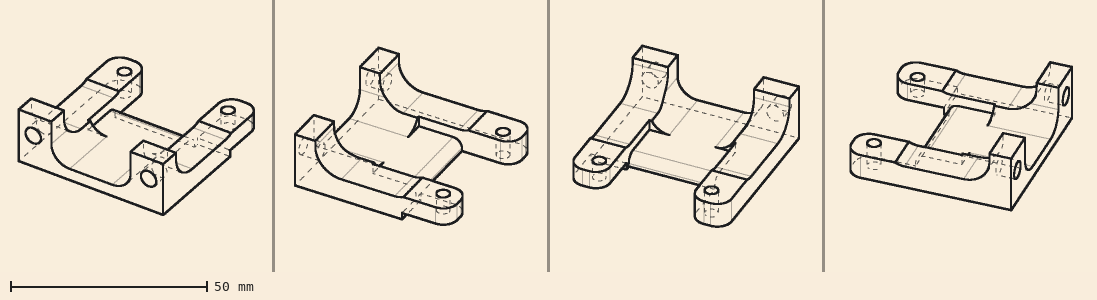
import cadquery as cq

width = 44.0
length = 45.0
arm_width = 9.95

tip_height = 7.05
arm_height = 6.5
step_end = 31.6
step_length = 2.55

post_thickness = 5.95
left_post_height = 16.0
right_post_height = 15.85
left_post_fillet = 7.0
right_post_fillet = 7.55

relief_height = 2.0
relief_start = 31.2

web_height = 3.5
web_length = 29.75
web_round = 2.5
channel_radius = 5.6
channel_length = 17.2

tip_radius = 4.0
pin_hole_diameter = 3.5
pin_hole_inset = 6.25
pin_hole_from_tip = 5.3
bolt_hole_diameter = 4.7
bolt_hole_inset = 4.45
bolt_hole_height = 9.6
bolt_hole_depth = 5.0

gap = width - 2 * arm_width


def extrude_along_x(profile, start, distance):
    """Extrude a closed YZ profile from X = start."""
    return profile.close().extrude(distance).translate((start, 0, 0))


def add_post(profile, post_height, post_fillet):
    """Continue a YZ outline along the arm top, up the post fillet and over the post."""
    return (
        profile.lineTo(post_thickness + post_fillet, arm_height)
        .radiusArc((post_thickness, arm_height + post_fillet), post_fillet)
        .lineTo(post_thickness, post_height)
        .lineTo(0, post_height)
    )


def make_arm(start, post_height, post_fillet):
    """Arm with a front post, its fillet, the shallow step and a rounded tip."""
    step_rise = tip_height - arm_height
    step_radius = (step_length**2 + step_rise**2) / (2 * step_rise)
    profile = (
        cq.Workplane("YZ")
        .lineTo(length, 0)
        .lineTo(length, tip_height)
        .lineTo(step_end, tip_height)
        .radiusArc((step_end - step_length, arm_height), step_radius)
    )
    profile = add_post(profile, post_height, post_fillet)
    arm = extrude_along_x(profile, start, arm_width)
    return arm.edges("|Z and >Y").fillet(tip_radius)


def make_web():
    """Thin plate between the arms with a rounded top rear edge."""
    web = cq.Workplane().box(gap, web_length, web_height, centered=False)
    web = web.edges(">Y and >Z").fillet(web_round)
    return web.translate((arm_width, 0, 0))


def make_channel_corners():
    """Floor of the channel with its concave corners, up to where they meet the walls."""
    top = web_height + channel_radius
    right = width - arm_width
    profile = (
        cq.Workplane("XZ")
        .moveTo(arm_width, top)
        .radiusArc((arm_width + channel_radius, web_height), -channel_radius)
        .lineTo(right - channel_radius, web_height)
        .radiusArc((right, top), -channel_radius)
        .lineTo(right, 0)
        .lineTo(arm_width, 0)
        .close()
    )
    return profile.extrude(-channel_length)


def make_side(start, post_height, post_fillet):
    """One arm together with the half of the channel beside it, trimmed to the arm's upper surface."""
    half_width = width / 2
    half_start = 0 if start == 0 else half_width
    rear_outline = cq.Workplane("YZ").lineTo(channel_length, 0).lineTo(channel_length, arm_height)
    envelope_profile = add_post(rear_outline, post_height, post_fillet)
    envelope = extrude_along_x(envelope_profile, half_start, half_width)
    corner = make_channel_corners().intersect(envelope)
    return make_arm(start, post_height, post_fillet).union(corner)


def make_holes():
    """Vertical pin holes through the tips and blind bolt holes in the posts."""
    pins = (
        cq.Workplane()
        .pushPoints([(x, length - pin_hole_from_tip) for x in (pin_hole_inset, width - pin_hole_inset)])
        .circle(pin_hole_diameter / 2)
        .extrude(tip_height)
    )
    bolts = (
        cq.Workplane("XZ")
        .pushPoints([(x, bolt_hole_height) for x in (bolt_hole_inset, width - bolt_hole_inset)])
        .circle(bolt_hole_diameter / 2)
        .extrude(-bolt_hole_depth)
    )
    return pins.union(bolts)


def make_relief():
    """Block removed from the underside of the right arm's rear end."""
    block = cq.Workplane().box(arm_width, length - relief_start, relief_height, centered=False)
    return block.translate((width - arm_width, relief_start, 0))


left_side = make_side(0, left_post_height, left_post_fillet)
right_side = make_side(width - arm_width, right_post_height, right_post_fillet)
result = left_side.union(right_side).union(make_web()).cut(make_holes()).cut(make_relief())